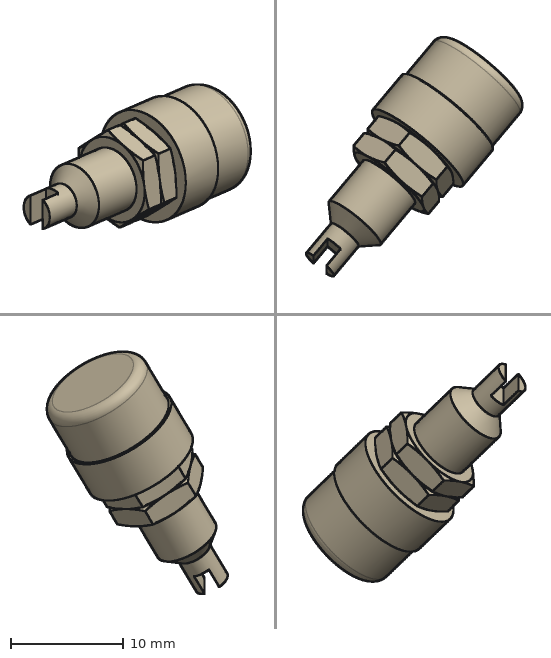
import cadquery as cq
import math

total_length = 23.1

pin_diameter = 3.2
shank_diameter = 6.0
collar_diameter = 10.5
cap_diameter = 10.0

pin_length = 3.5
cone_length = (shank_diameter - pin_diameter) / 2
nut_start = 9.8
nut_thickness = 2.0
nut_count = 2
collar_length = 4.2
cap_edge_radius = 0.92

slot_width = 1.48
slot_depth = 2.0

nut_sides = 6
nut_across_flats = 8.0
nut_across_corners = nut_across_flats / math.cos(math.pi / nut_sides)
nut_corner_angle = 38.9
nut_chamfer_height = 0.23

tip_y = -total_length / 2
cone_start_y = tip_y + pin_length
cone_end_y = cone_start_y + cone_length
nuts_y = tip_y + nut_start
collar_start_y = nuts_y + nut_count * nut_thickness
collar_end_y = collar_start_y + collar_length
cap_end_y = total_length / 2


def make_body():
    """Revolve the pin, cone, shank, collar and round-edged cap as one solid."""
    pin_radius = pin_diameter / 2
    shank_radius = shank_diameter / 2
    collar_radius = collar_diameter / 2
    cap_radius = cap_diameter / 2
    profile = (
        cq.Workplane("XY")
        .moveTo(0, tip_y)
        .lineTo(pin_radius, tip_y)
        .lineTo(pin_radius, cone_start_y)
        .lineTo(shank_radius, cone_end_y)
        .lineTo(shank_radius, collar_start_y)
        .lineTo(collar_radius, collar_start_y)
        .lineTo(collar_radius, collar_end_y)
        .lineTo(cap_radius, collar_end_y)
        .lineTo(cap_radius, cap_end_y - cap_edge_radius)
        .radiusArc((cap_radius - cap_edge_radius, cap_end_y), -cap_edge_radius)
        .lineTo(0, cap_end_y)
        .close()
    )
    return profile.revolve(360, (0, 0, 0), (0, 1, 0))


def make_nut(start_y):
    """Hexagonal nut with conical chamfers on both ends, running from start_y toward +Y."""
    end_y = start_y + nut_thickness
    face_radius = nut_across_flats / 2
    corner_radius = nut_across_corners / 2
    hexagon = (
        cq.Workplane("XZ", origin=(0, start_y, 0))
        .polygon(nut_sides, nut_across_corners)
        .extrude(-nut_thickness)
        .rotate((0, 0, 0), (0, 1, 0), -nut_corner_angle)
    )
    chamfer_envelope = (
        cq.Workplane("XY")
        .moveTo(0, start_y)
        .lineTo(face_radius, start_y)
        .lineTo(corner_radius, start_y + nut_chamfer_height)
        .lineTo(corner_radius, end_y - nut_chamfer_height)
        .lineTo(face_radius, end_y)
        .lineTo(0, end_y)
        .close()
        .revolve(360, (0, 0, 0), (0, 1, 0))
    )
    return hexagon.intersect(chamfer_envelope)


def make_slot():
    """Cutter for the slot through the pin tip, open along Z and toward -Y."""
    return cq.Workplane("XY").box(slot_width, slot_depth, pin_diameter).translate(
        (0, tip_y + slot_depth / 2, 0)
    )


result = make_body()
for nut_index in range(nut_count):
    result = result.union(make_nut(nuts_y + nut_index * nut_thickness))
result = result.cut(make_slot())